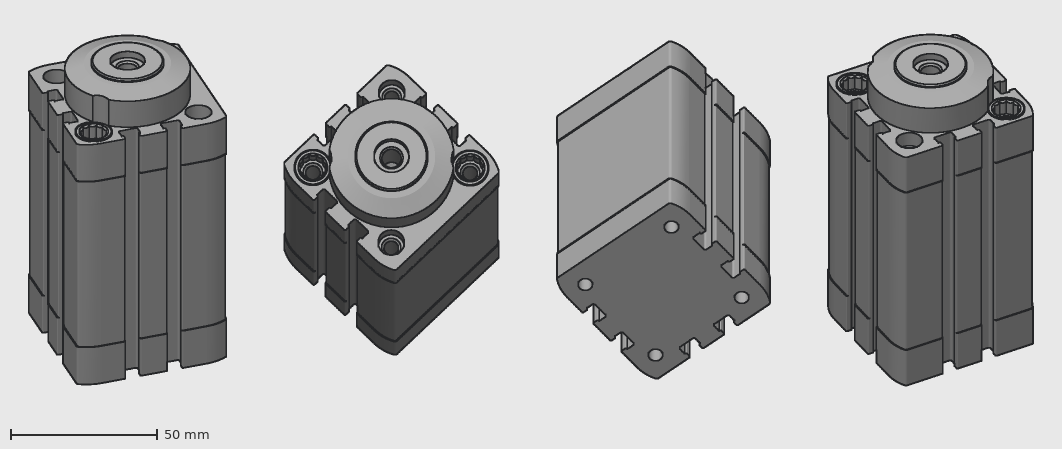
import cadquery as cq
import math

WIDTH = 54.5
HEIGHT = 110.0
HALF = WIDTH / 2

HOUSING_TOP = 96.5
CAP_HEIGHT = 15.0
TUBE_INSET = 0.3
CORNER_FLAT = 19.1
CORNER_END = 25.0
EDGE_RADIUS = 1.1

BOSS_DIAMETER = 43.0
BOSS_RIM_Z = 106.9
BOSS_TOP_Z = 109.0
BOSS_TOP_DIAMETER = 29.9

SLOT_SIDE_ANGLES = (-90, 0, 90)
SLOT_OFFSET = 7.6
SLOT_MOUTH = 5.5
SLOT_WIDTH = 6.8
SLOT_DEPTH = 5.5
SLOT_LIP = 2.2
SLOT_FLOOR_RADIUS = 0.7
SLOT_LIP_RADIUS = 0.3

HOLE_SPACING = 38.1
HOLE_DIAMETER = 5.0
HOLE_ENTRY_DIAMETER = 6.6
HOLE_ENTRY_CHAMFER = (HOLE_ENTRY_DIAMETER - HOLE_DIAMETER) / 2
COUNTERBORE_DIAMETER = 9.0
COUNTERBORE_DEPTH = 5.5

SOCKET_HEAD_DIAMETER = 12.8
SOCKET_HEAD_CHAMFER = 0.3
SOCKET_RIM_DIAMETER = 10.0
SOCKET_BORE_DIAMETER = 8.6
SOCKET_RIM_CHAMFER = (SOCKET_RIM_DIAMETER - SOCKET_BORE_DIAMETER) / 2
SOCKET_POINTS = 12
SOCKET_POINT_DIAMETER = 9.2
SOCKET_POINT_ANGLE = 20.0

ROD_DIAMETER = 25.0
ROD_CHAMFER = 0.5
ROD_BOTTOM = HOUSING_TOP - CAP_HEIGHT
ROD_COUNTERBORE_DIAMETER = 12.0
ROD_COUNTERBORE_DEPTH = 2.5
ROD_HOLE_DIAMETER = 6.6
ROD_HOLE_CHAMFER = 0.7
ROD_HOLE_DEPTH = 15.4
DRILL_ANGLE = 118.0


def polar(radius, degrees):
    return (radius * math.cos(math.radians(degrees)), radius * math.sin(math.radians(degrees)))


def section_block(inset, bottom, top):
    """Square block whose four corners are arcs tangent to the X sides."""
    half = HALF - inset
    rise = HALF - CORNER_FLAT
    run = HALF - CORNER_END
    radius = (rise**2 + run**2) / (2 * run)
    reach = half - CORNER_FLAT
    end_x = half - radius + math.sqrt(radius**2 - reach**2)
    mid_angle = math.asin(reach / radius) / 2
    mid_x = half - radius + radius * math.cos(mid_angle)
    mid_y = CORNER_FLAT + radius * math.sin(mid_angle)
    block = (
        cq.Workplane("XY")
        .workplane(offset=bottom)
        .moveTo(half, -CORNER_FLAT)
        .lineTo(half, CORNER_FLAT)
        .threePointArc((mid_x, mid_y), (end_x, half))
        .lineTo(-end_x, half)
        .threePointArc((-mid_x, mid_y), (-half, CORNER_FLAT))
        .lineTo(-half, -CORNER_FLAT)
        .threePointArc((-mid_x, -mid_y), (-end_x, -half))
        .lineTo(end_x, -half)
        .threePointArc((mid_x, -mid_y), (half, -CORNER_FLAT))
        .close()
        .extrude(top - bottom)
    )
    return block.edges("|Z").edges("<Y or >Y").fillet(EDGE_RADIUS)


def cylinder(diameter, bottom, top, x=0.0, y=0.0):
    return cq.Workplane("XY").workplane(offset=bottom).center(x, y).circle(diameter / 2).extrude(top - bottom)


def cone(bottom_diameter, top_diameter, bottom, top, x=0.0, y=0.0):
    solid = cq.Solid.makeCone(bottom_diameter / 2, top_diameter / 2, top - bottom, cq.Vector(x, y, bottom))
    return cq.Workplane(obj=solid)


def slot_cutter(inset, bottom, top):
    """T-slot in the -Y side, with rounded lips; it also clears the space in front of the slot."""
    surface = inset - HALF
    lip_back = SLOT_LIP - HALF
    floor = SLOT_DEPTH - HALF
    half_mouth = SLOT_MOUTH / 2
    half_width = SLOT_WIDTH / 2
    right_side = [
        (half_width, surface - SLOT_DEPTH),
        (half_width, surface),
        (half_mouth, surface),
        (half_mouth, lip_back),
        (half_width, lip_back),
        (half_width, floor),
    ]
    left_side = [(-x, y) for x, y in reversed(right_side)]
    cutter = cq.Workplane("XY").workplane(offset=bottom).polyline(right_side + left_side).close()
    cutter = cutter.extrude(top - bottom)
    cutter = cutter.edges("|Z").edges(">Y").fillet(SLOT_FLOOR_RADIUS)
    lips = cq.selectors.BoxSelector(
        (-half_mouth - SLOT_LIP_RADIUS / 2, surface - SLOT_LIP_RADIUS, bottom),
        (half_mouth + SLOT_LIP_RADIUS / 2, lip_back + SLOT_LIP_RADIUS, top),
    )
    return cutter.edges("|Z").edges(lips).fillet(SLOT_LIP_RADIUS)


def housing_section(inset, bottom, top):
    """Length of the housing with two slots in each of the -X, -Y and +X sides."""
    section = section_block(inset, bottom, top)
    slot = slot_cutter(inset, bottom, top)
    for angle in SLOT_SIDE_ANGLES:
        for offset in (-SLOT_OFFSET, SLOT_OFFSET):
            section = section.cut(slot.translate((offset, 0, 0)).rotate((0, 0, 0), (0, 0, 1), angle))
    return section


def socket_groove(x, y):
    """V-groove around the bevelled rim of a socket head, and the clearance above the head."""
    bottom = HOUSING_TOP - SOCKET_HEAD_CHAMFER
    bevel = cone(
        SOCKET_HEAD_DIAMETER, SOCKET_HEAD_DIAMETER - 2 * SOCKET_HEAD_CHAMFER, bottom, HOUSING_TOP, x, y
    )
    return cylinder(SOCKET_HEAD_DIAMETER, bottom, HEIGHT, x, y).cut(bevel)


def socket_recess(x, y, floor):
    """Twelve-point socket: sharp grooves around a round bore, with a countersunk rim."""
    bore_radius = SOCKET_BORE_DIAMETER / 2
    flank_angle = SOCKET_POINT_ANGLE / 2
    outline = []
    for i in range(SOCKET_POINTS):
        middle = 360 / SOCKET_POINTS * i
        outline.append(polar(bore_radius, middle - flank_angle))
        outline.append(polar(SOCKET_POINT_DIAMETER / 2, middle))
        outline.append(polar(bore_radius, middle + flank_angle))
    star = cq.Workplane("XY").polyline(outline).close().extrude(HOUSING_TOP - floor).translate((x, y, floor))
    rim_bottom = HOUSING_TOP - SOCKET_RIM_CHAMFER
    return star.union(cone(SOCKET_BORE_DIAMETER, SOCKET_RIM_DIAMETER, rim_bottom, HOUSING_TOP, x, y))


def build_housing():
    tube_top = HOUSING_TOP - CAP_HEIGHT
    body = housing_section(0, 0, CAP_HEIGHT)
    body = body.union(housing_section(TUBE_INSET, CAP_HEIGHT, tube_top))
    body = body.union(housing_section(0, tube_top, HOUSING_TOP))

    body = body.union(cylinder(BOSS_DIAMETER, HOUSING_TOP, BOSS_RIM_Z))
    body = body.union(cone(BOSS_DIAMETER, BOSS_TOP_DIAMETER, BOSS_RIM_Z, BOSS_TOP_Z))

    place = HOLE_SPACING / 2
    floor = HOUSING_TOP - COUNTERBORE_DEPTH
    for x in (-place, place):
        for y in (-place, place):
            body = body.cut(cylinder(HOLE_DIAMETER, 0, floor, x, y))
            body = body.cut(cone(HOLE_DIAMETER, HOLE_ENTRY_DIAMETER, floor - HOLE_ENTRY_CHAMFER, floor, x, y))
            if x == y:
                body = body.cut(cylinder(COUNTERBORE_DIAMETER, floor, HOUSING_TOP, x, y))
            else:
                body = body.cut(socket_groove(x, y))
                body = body.cut(socket_recess(x, y, floor))

    return body.cut(cylinder(ROD_DIAMETER, ROD_BOTTOM, HEIGHT))


def build_rod():
    rod = cylinder(ROD_DIAMETER, ROD_BOTTOM, HEIGHT).faces(">Z").edges().chamfer(ROD_CHAMFER)
    floor = HEIGHT - ROD_COUNTERBORE_DEPTH
    hole_bottom = floor - ROD_HOLE_DEPTH
    tip = ROD_HOLE_DIAMETER / 2 / math.tan(math.radians(DRILL_ANGLE / 2))
    rod = rod.cut(cylinder(ROD_COUNTERBORE_DIAMETER, floor, HEIGHT))
    rod = rod.cut(cylinder(ROD_HOLE_DIAMETER, hole_bottom, floor))
    rod = rod.cut(cone(0, ROD_HOLE_DIAMETER, hole_bottom - tip, hole_bottom))
    entry_diameter = ROD_HOLE_DIAMETER + 2 * ROD_HOLE_CHAMFER
    return rod.cut(cone(ROD_HOLE_DIAMETER, entry_diameter, floor - ROD_HOLE_CHAMFER, floor))


housing = build_housing()
rod = build_rod()
result = cq.Compound.makeCompound([housing.val(), rod.val()])